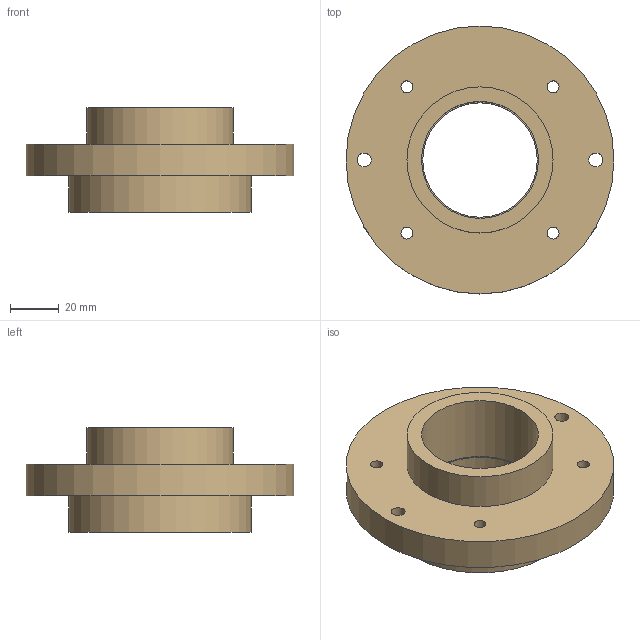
import cadquery as cq

SPIGOT_DIAMETER = 75.0
SPIGOT_HEIGHT = 15.0
FLANGE_DIAMETER = 110.0
FLANGE_THICKNESS = 13.0
HUB_DIAMETER = 60.0
HUB_HEIGHT = 15.0

LOWER_BORE_DIAMETER = 47.0
UPPER_BORE_DIAMETER = 48.0

SIDE_HOLE_DIAMETER = 5.7
SIDE_HOLE_SPACING = 95.0
CORNER_HOLE_DIAMETER = 4.92
CORNER_HOLE_SPACING = 60.0

FLANGE_TOP = SPIGOT_HEIGHT + FLANGE_THICKNESS
TOTAL_HEIGHT = FLANGE_TOP + HUB_HEIGHT


def cylinder(diameter, bottom, top):
    """Solid cylinder on the Z axis between two heights."""
    return cq.Workplane("XY").workplane(offset=bottom).circle(diameter / 2).extrude(top - bottom)


def flange_holes(diameter, spacing_x, spacing_y, count_y):
    """Cutters for two columns of holes through the flange."""
    return (
        cq.Workplane("XY")
        .workplane(offset=SPIGOT_HEIGHT)
        .rarray(spacing_x, spacing_y, 2, count_y)
        .circle(diameter / 2)
        .extrude(FLANGE_THICKNESS)
    )


body = cylinder(SPIGOT_DIAMETER, 0, SPIGOT_HEIGHT)
body = body.union(cylinder(FLANGE_DIAMETER, SPIGOT_HEIGHT, FLANGE_TOP))
body = body.union(cylinder(HUB_DIAMETER, FLANGE_TOP, TOTAL_HEIGHT))

body = body.cut(cylinder(LOWER_BORE_DIAMETER, 0, TOTAL_HEIGHT))
body = body.cut(cylinder(UPPER_BORE_DIAMETER, SPIGOT_HEIGHT, TOTAL_HEIGHT))

body = body.cut(flange_holes(SIDE_HOLE_DIAMETER, SIDE_HOLE_SPACING, SIDE_HOLE_SPACING, 1))
body = body.cut(flange_holes(CORNER_HOLE_DIAMETER, CORNER_HOLE_SPACING, CORNER_HOLE_SPACING, 2))

result = body